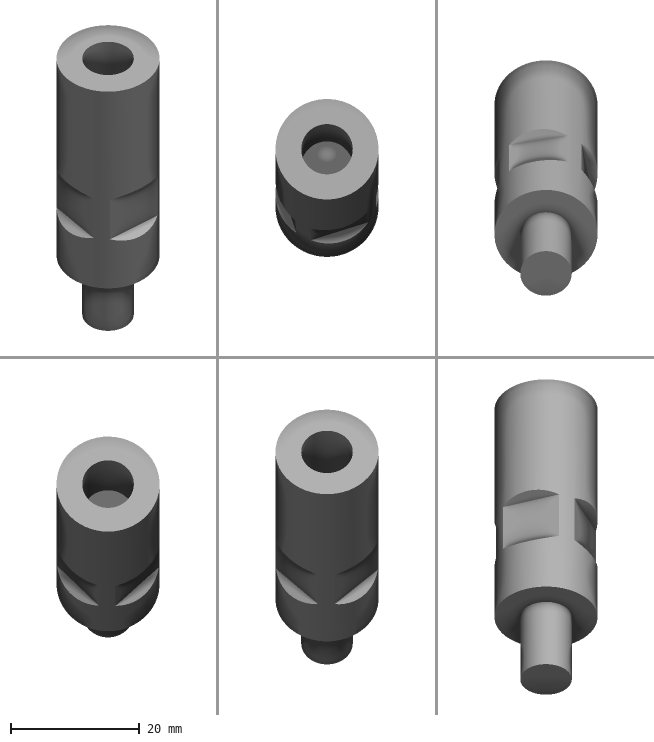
import cadquery as cq
import math

total_length = 52.0
body_diameter = 16.0
stud_diameter = body_diameter / 2
stud_length = 12.0
bore_diameter = stud_diameter
bore_depth = stud_length

across_flats = 13.0
flat_height = 8.0
flat_offset = 10.0
runout_angle = 30.0
flat_count = 4

body_radius = body_diameter / 2
flat_bottom = stud_length + flat_offset
flat_top = flat_bottom + flat_height


def make_body():
    """Stud at the bottom, cylindrical body above, blind bore in the top."""
    stud = cq.Workplane("XY").circle(stud_diameter / 2).extrude(stud_length)
    body = (
        cq.Workplane("XY")
        .workplane(offset=stud_length)
        .circle(body_radius)
        .extrude(total_length - stud_length)
    )
    bore = (
        cq.Workplane("XY")
        .workplane(offset=total_length - bore_depth)
        .circle(bore_diameter / 2)
        .extrude(bore_depth)
    )
    return stud.union(body).cut(bore)


def make_flat_cutter():
    """Trapezoidal prism that cuts the flat on the +X side."""
    inner_x = across_flats / 2
    outer_x = body_diameter
    runout_rise = (outer_x - inner_x) * math.tan(math.radians(runout_angle))
    return (
        cq.Workplane("XZ")
        .moveTo(inner_x, flat_bottom)
        .lineTo(outer_x, flat_bottom - runout_rise)
        .lineTo(outer_x, flat_top + runout_rise)
        .lineTo(inner_x, flat_top)
        .close()
        .extrude(body_radius, both=True)
    )


result = make_body()
flat_cutter = make_flat_cutter()
for index in range(flat_count):
    angle = index * 360 / flat_count
    result = result.cut(flat_cutter.rotate((0, 0, 0), (0, 0, 1), angle))